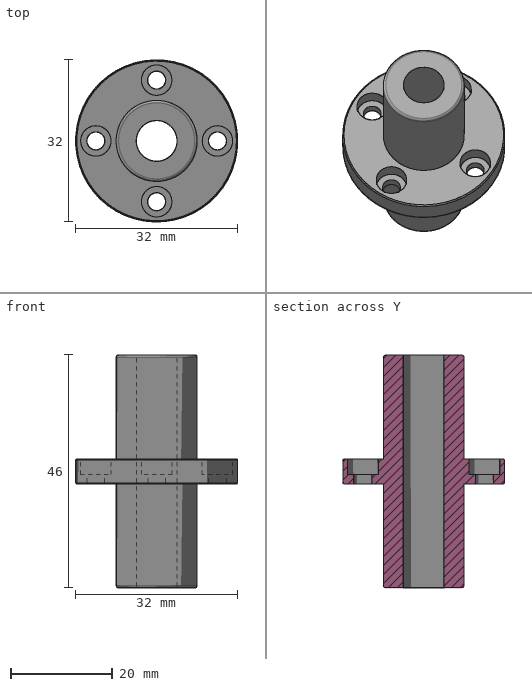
import cadquery as cq

body_diameter = 16.0
body_length = 46.0
body_edge_radius = 0.5
bore_diameter = 8.0

flange_diameter = 32.0
flange_thickness = 5.0
flange_edge_chamfer = 0.25

hole_count = 4
hole_circle_diameter = (body_diameter + flange_diameter) / 2
hole_diameter = 3.5
counterbore_diameter = 6.0
counterbore_depth = 3.1


def centred_cylinder(diameter, length):
    """Cylinder along Z, symmetric about the XY plane."""
    return cq.Workplane("XY").cylinder(length, diameter / 2)


def make_sleeve():
    """Round sleeve body with rounded end edges."""
    return centred_cylinder(body_diameter, body_length).faces("|Z").edges().fillet(body_edge_radius)


def make_flange():
    """Flange disc with lightly broken rims."""
    return centred_cylinder(flange_diameter, flange_thickness).faces("|Z").edges().chamfer(flange_edge_chamfer)


def cut_mounting_holes(part):
    """Counterbored through holes, evenly spaced around the flange."""
    return (
        part.copyWorkplane(cq.Workplane("XY", origin=(0, 0, flange_thickness / 2)))
        .polarArray(hole_circle_diameter / 2, 0, 360, hole_count)
        .cboreHole(hole_diameter, counterbore_diameter, counterbore_depth, depth=flange_thickness)
    )


def cut_bore(part):
    """Plain bore through the full length of the sleeve."""
    return part.cut(centred_cylinder(bore_diameter, body_length))


result = cut_bore(cut_mounting_holes(make_sleeve().union(make_flange())))